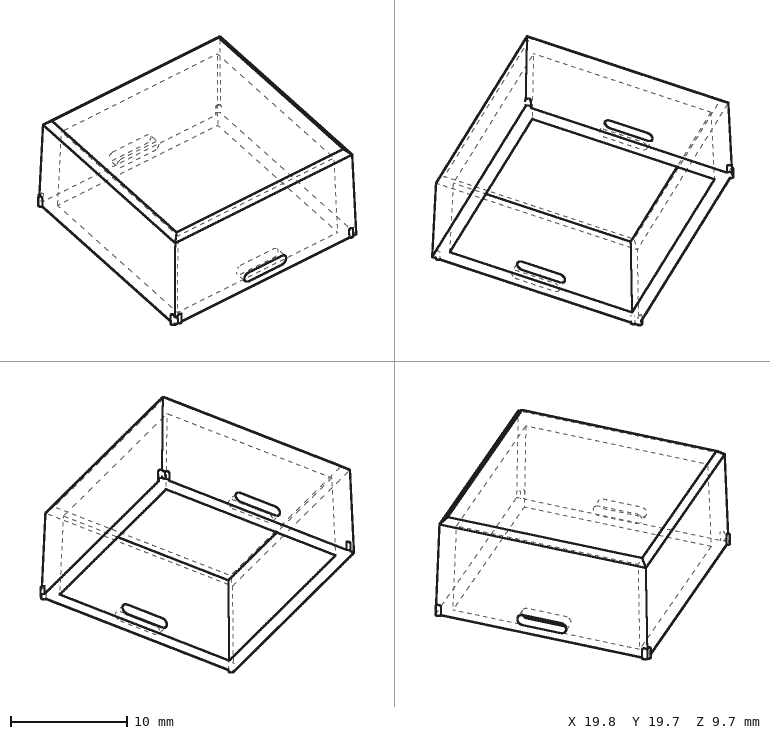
import cadquery as cq

base_width = 19.5
height = 9.7
rim_chamfer = 0.55
shoulder_height = height - rim_chamfer
wall_inset = 0.25
shoulder_width = base_width - 2 * wall_inset
top_width = shoulder_width - 2 * rim_chamfer
half_base = base_width / 2

wall_thickness = 1.15

slot_length = 4.5
slot_height = 1.0
slot_center_z = 1.25

post_radius = 0.25
post_height = 1.0
post_rounding = 0.2
post_projection = 0.2
low_post_projection = 0.1
post_line = half_base + post_projection - post_radius
low_post_line = half_base + low_post_projection - post_radius
post_offset = half_base - post_radius
low_post_offset = 9.2


def frustum(bottom_width, upper_width, bottom_z, upper_z):
    """Square frustum centred on the Z axis."""
    return (
        cq.Workplane("XY")
        .workplane(offset=bottom_z)
        .rect(bottom_width, bottom_width)
        .workplane(offset=upper_z - bottom_z)
        .rect(upper_width, upper_width)
        .loft(ruled=True)
    )


def make_body():
    walls = frustum(base_width, shoulder_width, 0, shoulder_height)
    rim = frustum(shoulder_width, top_width, shoulder_height, height)
    return walls.union(rim)


def make_cavity():
    thickness = 2 * wall_thickness
    ceiling_z = height - wall_thickness
    lean = wall_inset * ceiling_z / shoulder_height
    return frustum(base_width - thickness, base_width - thickness - 2 * lean, 0, ceiling_z)


def make_slot():
    return (
        cq.Workplane("YZ")
        .center(0, slot_center_z)
        .slot2D(slot_length, slot_height)
        .extrude(base_width, both=True)
    )


def make_post(x, y):
    return (
        cq.Workplane("XY")
        .center(x, y)
        .circle(post_radius)
        .extrude(post_height)
        .faces(">Z")
        .edges()
        .fillet(post_rounding)
    )


result = make_body()
for side in (-1, 1):
    result = result.union(make_post(-post_line, side * post_offset))
    result = result.union(make_post(low_post_line, side * low_post_offset))
    result = result.union(make_post(side * post_offset, -post_line))
result = result.cut(make_cavity()).cut(make_slot())